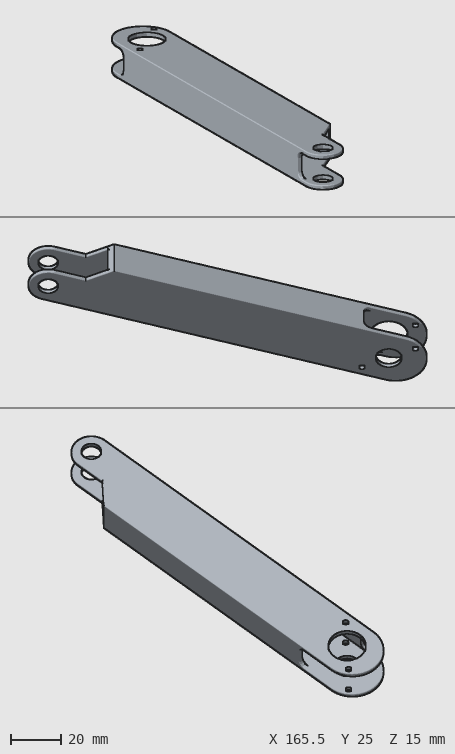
import cadquery as cq
import math

length = 165.5
width = 25.0
height = 15.0
wall = 2.0
edge_radius = 0.5
inner_width = width - 2 * wall
inner_height = height - 2 * wall

wide_end_radius = width / 2
pivot_x = 15.4
upper_pivot_diameter = 15.0
lower_pivot_diameter = 10.5
pin_hole_diameter = 2.3
pin_circle_radius = 11.9
pin_angles = (135, 315)

neck_width = 16.0
narrow_end_radius = neck_width / 2
narrow_hole_x = length - narrow_end_radius
narrow_hole_diameter = 8.0
neck_length = 21.2
shoulder_drop = width - neck_width

wide_slot_depth = 17.5
rear_slot_depth = 30.0
narrow_slot_depth = 14.4
slot_corner_radius = 3.0


def make_arm_body():
    """Plan outline of the arm, extruded through the full height."""
    shoulder_end_x = length - neck_length
    return (
        cq.Workplane("XY")
        .moveTo(wide_end_radius, 0)
        .lineTo(narrow_hole_x, 0)
        .threePointArc((length, narrow_end_radius), (narrow_hole_x, neck_width))
        .lineTo(shoulder_end_x, neck_width)
        .lineTo(shoulder_end_x - shoulder_drop, width)
        .lineTo(wide_end_radius, width)
        .threePointArc((0, wide_end_radius), (wide_end_radius, 0))
        .close()
        .extrude(height)
    )


def make_bore():
    """Rectangular cutter along the whole length."""
    bore = cq.Workplane("XY").box(length, inner_width, inner_height, centered=False)
    return bore.translate((0, wall, wall))


def make_fork_slot(end_x, depth, inner_edges, center_y, span_y):
    """Cutter along Y, as high as the bore and reaching the given depth from an end."""
    slot = cq.Workplane("XY").box(2 * depth, span_y, inner_height)
    slot = slot.edges(inner_edges).edges("|Y").fillet(slot_corner_radius)
    return slot.translate((end_x, center_y, height / 2))


def round_outer_edges(arm):
    """Round the borders of the outer side faces, including the mouths of the fork slots.

    The upright edges at both ends of the shoulder stay sharp.
    """
    shoulder_end_x = length - neck_length
    shoulder_zone = cq.selectors.BoxSelector(
        (shoulder_end_x - shoulder_drop - wall, neck_width - wall, 0),
        (shoulder_end_x + wall, width + wall, height),
    )
    neck_zone = cq.selectors.BoxSelector(
        (shoulder_end_x - shoulder_drop, neck_width - wall, 0),
        (narrow_hole_x, width, height),
    )
    outline_faces = arm.faces("<Y or >Y or <X or >X").add(arm.faces("#Z").faces(neck_zone))
    sharp_edges = arm.edges("|Z").edges(shoulder_zone).vals()
    rounded_edges = [
        edge
        for edge in outline_faces.edges().vals()
        if not any(edge.isSame(sharp) for sharp in sharp_edges)
    ]
    return arm.newObject(rounded_edges).fillet(edge_radius)


def make_hole(x, y, diameter, bottom_z=0.0, depth=height):
    """Vertical cylindrical cutter."""
    return cq.Workplane("XY", origin=(x, y, bottom_z)).circle(diameter / 2).extrude(depth)


result = make_arm_body().cut(make_bore())

middle_y = width / 2
result = result.cut(make_fork_slot(0, wide_slot_depth, ">X", middle_y, width))
result = result.cut(make_fork_slot(0, rear_slot_depth, ">X", width - wall / 2, wall))
result = result.cut(make_fork_slot(length, narrow_slot_depth, "<X", middle_y, width))

result = round_outer_edges(result)

result = result.cut(make_hole(pivot_x, middle_y, lower_pivot_diameter, 0, wall))
result = result.cut(make_hole(pivot_x, middle_y, upper_pivot_diameter, height - wall, wall))

for angle in pin_angles:
    pin_x = pivot_x + pin_circle_radius * math.cos(math.radians(angle))
    pin_y = middle_y + pin_circle_radius * math.sin(math.radians(angle))
    result = result.cut(make_hole(pin_x, pin_y, pin_hole_diameter))

result = result.cut(make_hole(narrow_hole_x, narrow_end_radius, narrow_hole_diameter))